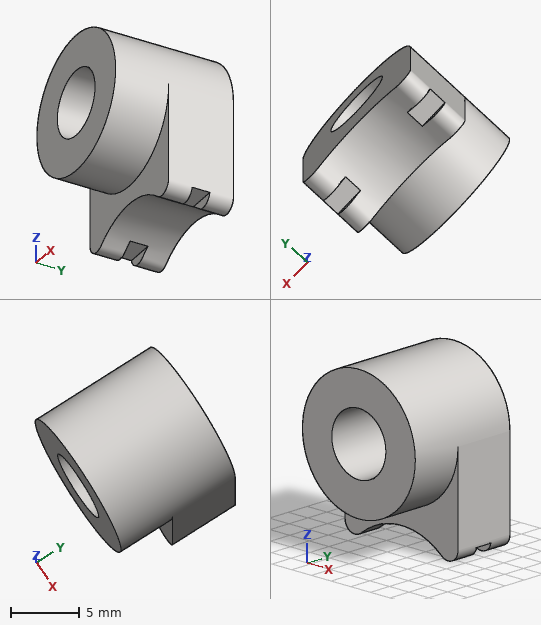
import cadquery as cq
import math

barrel_diameter = 11.5
bore_diameter = 5.5
barrel_length = 10.0
barrel_radius = barrel_diameter / 2

overall_height = 14.7
foot_length = 5.5
toe_radius = 1.0
saddle_radius = 6.5

slot_width = 1.5
slot_depth = 0.8
slot_rear_offset = 2.0

foot_bottom = barrel_radius - overall_height
toe_x = barrel_radius - toe_radius
toe_z = foot_bottom + toe_radius

center_distance = saddle_radius + toe_radius
saddle_z = toe_z - math.sqrt(center_distance**2 - toe_x**2)
saddle_top = saddle_z + saddle_radius
tangent_x = toe_x * saddle_radius / center_distance
tangent_z = saddle_z + (toe_z - saddle_z) * saddle_radius / center_distance


def make_barrel():
    return cq.Workplane("XZ").circle(barrel_radius).extrude(-barrel_length)


def make_foot():
    foot_front = barrel_length - foot_length
    return (
        cq.Workplane("XZ", origin=(0, foot_front, 0))
        .moveTo(-barrel_radius, 0)
        .lineTo(-barrel_radius, toe_z)
        .threePointArc((-toe_x, foot_bottom), (-tangent_x, tangent_z))
        .threePointArc((0, saddle_top), (tangent_x, tangent_z))
        .threePointArc((toe_x, foot_bottom), (barrel_radius, toe_z))
        .lineTo(barrel_radius, 0)
        .close()
        .extrude(-foot_length)
    )


def make_slot():
    slot_center_y = barrel_length - slot_rear_offset - slot_width / 2
    return cq.Workplane("XY", origin=(0, slot_center_y, foot_bottom)).box(
        barrel_diameter, slot_width, slot_depth, centered=(True, True, False)
    )


bore = cq.Workplane("XZ").circle(bore_diameter / 2).extrude(-barrel_length)

result = make_barrel().union(make_foot()).cut(bore).cut(make_slot())